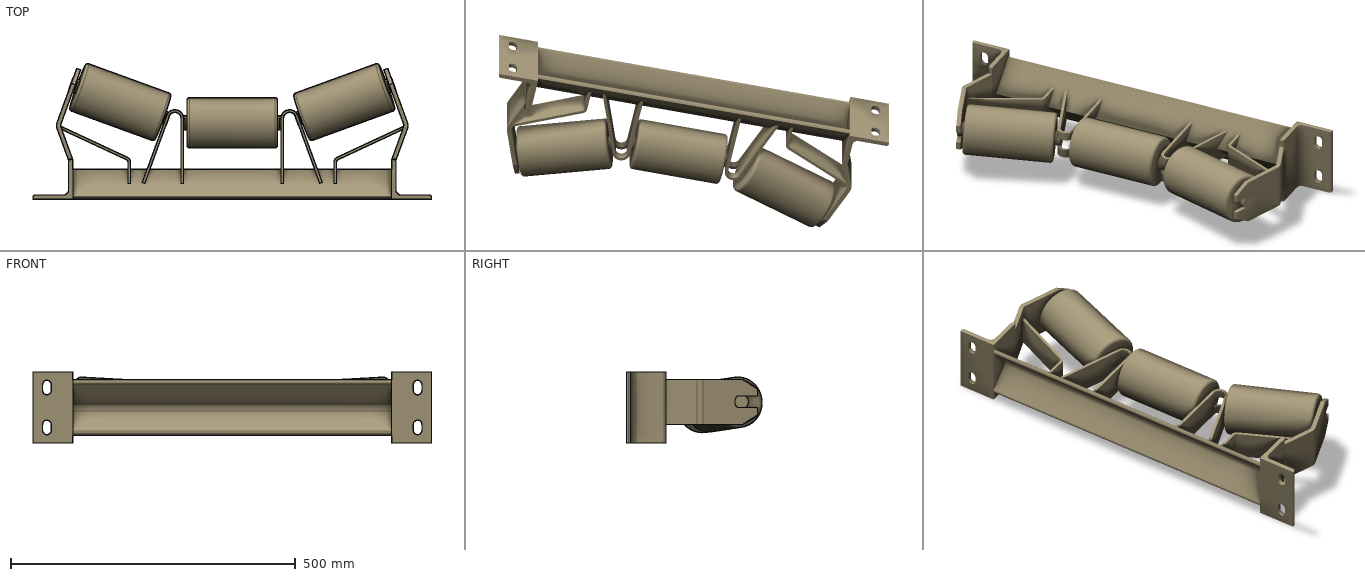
import cadquery as cq
import math


LEG = 70.0
ANGLE_T = 8.0
ROOT_R = 9.0
TOE_R = 4.0

TOTAL_LENGTH = 700.0
BEAM_END_X = TOTAL_LENGTH / 2 - LEG
BEAM_HALF_HEIGHT = LEG / math.sqrt(2)
BEAM_DEPTH = (LEG + ANGLE_T - 2 * TOE_R) / math.sqrt(2) + TOE_R
FOOT_HEIGHT = 125.0
FOOT_SLOT_W = 15.0
FOOT_SLOT_H = 25.0
FOOT_SLOT_INSET = 24.5
FOOT_SLOT_Z = 35.0

ROLLER_D = 89.0
ROLLER_LENGTH = 159.5
ROLLER_EDGE_R = 5.0
AXLE_D = 25.0
AXLE_FLAT_W = 20.0
AXLE_SHOULDER = 83.0
SIDE_SUPPORT_DISTANCE = 85.0
SLOT_DEPTH = 14.0
TROUGH_ANGLE = 20.0
FORWARD_TILT = 3.0
SIDE_ROLLER_CENTER = (-197.0, 171.0, 5.25)
MIDDLE_ROLLER_CENTER = (0.0, 134.5, 0.0)

ARM_T = 8.0
ARM_HEIGHT = 80.0
ARM_TOP_Z = BEAM_HALF_HEIGHT
ARM_BEND_Y = 129.5
ARM_UPPER_LENGTH = 107.0
ARM_BEND_R = 8.0
ARM_CORNER_RUN = 28.0
ARM_CORNER_RISE = 16.0

SHEET_T = 5.0
SHEET_HALF_HEIGHT = 25.0
SHEET_FOOT_Y = BEAM_DEPTH - SHEET_HALF_HEIGHT
SADDLE_FACE_X = -85.5
SADDLE_BEND_R = 15.5
SADDLE_BEND_Y = 142.0
SADDLE_SLANT_LENGTH = 125.0
BRACE_X = -178.5
BRACE_BEND_Y = 71.5
BRACE_ANGLE = 25.0
BRACE_BEND_R = 5.0

SIN_T = math.sin(math.radians(TROUGH_ANGLE))
COS_T = math.cos(math.radians(TROUGH_ANGLE))
TAN_T = math.tan(math.radians(TROUGH_ANGLE))


def mirrored(shape):
    return shape.mirror("YZ")


def angle_section(length):
    """Angle with its heel on the origin, legs along +X and +Y, extruded along +Z."""
    return (
        cq.Workplane("XY")
        .polyline([(0, 0), (LEG, 0), (LEG, ANGLE_T), (ANGLE_T, ANGLE_T), (ANGLE_T, LEG), (0, LEG)])
        .close()
        .extrude(length)
        .edges(cq.selectors.NearestToPointSelector((ANGLE_T, ANGLE_T, length / 2)))
        .fillet(ROOT_R)
        .edges(cq.selectors.NearestToPointSelector((LEG, ANGLE_T, length / 2)))
        .fillet(TOE_R)
        .edges(cq.selectors.NearestToPointSelector((ANGLE_T, LEG, length / 2)))
        .fillet(TOE_R)
    )


def plate(points, bottom, height):
    """Plate profile in XY raised along Z."""
    return cq.Workplane("XY").workplane(offset=bottom).polyline(points).close().extrude(height)


def fillet_at(body, point, radius):
    """Round the Z edge that stands over a point of the XY profile."""
    return body.edges("|Z").edges(cq.selectors.NearestToPointSelector((*point, 0))).fillet(radius)



def place(body, center, trough, tilt):
    """Tip a body made along X at the origin forward, swing it into the trough and move it."""
    tipped = body.rotate((0, 0, 0), (0, 1, 0), tilt)
    return tipped.rotate((0, 0, 0), (0, 0, 1), trough).translate(center)


def roller_shell():
    return (
        cq.Workplane("YZ")
        .workplane(offset=-ROLLER_LENGTH / 2)
        .circle(ROLLER_D / 2)
        .extrude(ROLLER_LENGTH)
        .edges()
        .fillet(ROLLER_EDGE_R)
        .cut(cq.Workplane("YZ").circle(AXLE_D / 2).extrude(ROLLER_LENGTH, both=True))
    )


def axle(left_reach, right_reach):
    """Round axle flattened in Z at both ends, where it drops into its support slots."""
    full = (
        cq.Workplane("YZ")
        .workplane(offset=-AXLE_SHOULDER)
        .circle(AXLE_D / 2)
        .extrude(2 * AXLE_SHOULDER)
    )
    flat = (
        cq.Workplane("YZ")
        .workplane(offset=-left_reach)
        .circle(AXLE_D / 2)
        .extrude(left_reach + right_reach)
        .intersect(cq.Workplane("XY").box(4 * AXLE_SHOULDER, AXLE_D, AXLE_FLAT_W))
    )
    return full.union(flat)


def slot_cutter(side):
    """Open slot for one axle end: a round bottom on the axle, open towards +Y."""
    bottom = cq.Workplane("YZ").circle(AXLE_D / 2).extrude(SLOT_DEPTH)
    opening = cq.Workplane("XY").box(SLOT_DEPTH, ROLLER_D, AXLE_FLAT_W, centered=(False, False, True))
    band = cq.Workplane("XY").box(SLOT_DEPTH, AXLE_D, AXLE_FLAT_W, centered=(False, True, True))
    cutter = bottom.intersect(band).union(opening).translate((AXLE_SHOULDER, 0, 0))
    return cutter if side > 0 else mirrored(cutter)


def place_side(body):
    return place(body, SIDE_ROLLER_CENTER, -TROUGH_ANGLE, FORWARD_TILT)


def place_middle(body):
    return place(body, MIDDLE_ROLLER_CENTER, 0, 0)



def beam_blank():
    """Angle lying along X with its heel towards +Y and its legs at 45 degrees."""
    return (
        angle_section(2 * BEAM_END_X)
        .rotate((0, 0, 0), (0, 0, 1), 135)
        .rotate((0, 0, 0), (1, 1, 1), 120)
        .translate((-BEAM_END_X, BEAM_DEPTH, 0))
    )


def saddle():
    """Hairpin plate: a straight leg for the middle roller, a slanted leg for the side one."""
    bend_x = SADDLE_FACE_X - SADDLE_BEND_R
    inner_r = SADDLE_BEND_R - SHEET_T
    bend_end = 180 - TROUGH_ANGLE

    def on_bend(radius, degrees):
        turn = math.radians(degrees)
        return (bend_x + radius * math.cos(turn), SADDLE_BEND_Y + radius * math.sin(turn))

    def slant_end(radius):
        x, y = on_bend(radius, bend_end)
        return (x - SADDLE_SLANT_LENGTH * SIN_T, y - SADDLE_SLANT_LENGTH * COS_T)

    body = (
        cq.Workplane("XY")
        .workplane(offset=-SHEET_HALF_HEIGHT)
        .moveTo(SADDLE_FACE_X, SHEET_FOOT_Y)
        .lineTo(*on_bend(SADDLE_BEND_R, 0))
        .threePointArc(on_bend(SADDLE_BEND_R, bend_end / 2), on_bend(SADDLE_BEND_R, bend_end))
        .lineTo(*slant_end(SADDLE_BEND_R))
        .lineTo(*slant_end(inner_r))
        .lineTo(*on_bend(inner_r, bend_end))
        .threePointArc(on_bend(inner_r, bend_end / 2), on_bend(inner_r, 0))
        .lineTo(SADDLE_FACE_X - SHEET_T, SHEET_FOOT_Y)
        .close()
        .extrude(2 * SHEET_HALF_HEIGHT)
    )
    bend_slot = cq.Workplane("XY").box(2 * SADDLE_BEND_R, SADDLE_BEND_R, AXLE_FLAT_W)
    bend_slot = bend_slot.translate((bend_x, SADDLE_BEND_Y + SADDLE_BEND_R / 2, 0))
    body = body.cut(bend_slot)
    return body.cut(place_middle(slot_cutter(-1))).cut(place_side(slot_cutter(1)))


def arm_inner_x(y):
    """X of the inner face of the arm's lower part."""
    return -BEAM_END_X - (y - LEG) * TAN_T


def brace():
    slope = math.radians(BRACE_ANGLE)

    def at_arm(x, y):
        """Where the slanted line through (x, y) reaches the inner face of the arm."""
        run = (x - arm_inner_x(y)) / (1 - math.tan(slope) * TAN_T)
        return (x - run, y + run * math.tan(slope))

    left_x = BRACE_X - SHEET_T
    left_y = BRACE_BEND_Y - SHEET_T * math.tan(math.pi / 4 - slope / 2)
    outer = (BRACE_X, BRACE_BEND_Y)
    inner = (left_x, left_y)
    right_foot = (BRACE_X, SHEET_FOOT_Y)
    left_foot = (left_x, SHEET_FOOT_Y)
    points = [right_foot, outer, at_arm(*outer), at_arm(*inner), inner, left_foot]
    body = plate(points, -SHEET_HALF_HEIGHT, 2 * SHEET_HALF_HEIGHT)
    body = fillet_at(body, outer, BRACE_BEND_R + SHEET_T)
    return fillet_at(body, inner, BRACE_BEND_R)


def cradle_beam():
    notch = (
        cq.Workplane("YZ")
        .polyline([(BEAM_DEPTH, 0), (0, BEAM_DEPTH), (0, -BEAM_DEPTH)])
        .close()
        .extrude(BEAM_END_X, both=True)
    )
    body = beam_blank()
    for part in (saddle().cut(notch), brace().cut(notch).cut(arm())):
        body = body.union(part).union(mirrored(part))
    return body



def foot():
    blank = angle_section(FOOT_HEIGHT).mirror("YZ").translate((-BEAM_END_X, 0, -FOOT_HEIGHT / 2))
    slots = (
        cq.Workplane("XZ")
        .pushPoints([(FOOT_SLOT_INSET - TOTAL_LENGTH / 2, z) for z in (-FOOT_SLOT_Z, FOOT_SLOT_Z)])
        .slot2D(FOOT_SLOT_H, FOOT_SLOT_W, 90)
        .extrude(-2 * ANGLE_T)
    )
    return blank.cut(slots)


def arm():
    inner_bend = (arm_inner_x(ARM_BEND_Y), ARM_BEND_Y)
    outer_bend = (inner_bend[0] - ARM_T / COS_T, ARM_BEND_Y)
    outer_tip = (outer_bend[0] + ARM_UPPER_LENGTH * SIN_T, ARM_BEND_Y + ARM_UPPER_LENGTH * COS_T)
    inner_tip = (outer_tip[0] + ARM_T * COS_T, outer_tip[1] - ARM_T * SIN_T)
    inner_foot = (-BEAM_END_X, LEG)
    outer_foot = (-BEAM_END_X - ARM_T / COS_T, LEG)
    points = [inner_foot, inner_bend, inner_tip, outer_tip, outer_bend, outer_foot]
    body = plate(points, ARM_TOP_Z - ARM_HEIGHT, ARM_HEIGHT)
    body = fillet_at(body, inner_bend, ARM_BEND_R)
    body = fillet_at(body, outer_bend, ARM_BEND_R + ARM_T)

    tip_plane = cq.Plane(origin=(*outer_tip, 0), xDir=(-SIN_T, -COS_T, 0), normal=(-COS_T, SIN_T, 0))
    top_z = ARM_TOP_Z
    bottom_z = ARM_TOP_Z - ARM_HEIGHT
    for edge_z, cut_z in ((top_z, top_z - ARM_CORNER_RISE), (bottom_z, bottom_z + ARM_CORNER_RISE)):
        corner = (
            cq.Workplane(tip_plane)
            .polyline([(0, edge_z), (ARM_CORNER_RUN, edge_z), (0, cut_z)])
            .close()
            .extrude(2 * ARM_T, both=True)
        )
        body = body.cut(corner)
    return body.cut(place_side(slot_cutter(-1)))


def end_support():
    return foot().union(arm())


beam = cradle_beam()
left_support = end_support()
supports = [left_support, mirrored(left_support)]
middle_reach = -SADDLE_FACE_X + SHEET_T
side_shell = place_side(roller_shell())
shells = [side_shell, place_middle(roller_shell()), mirrored(side_shell)]
side_axle = place_side(axle(SIDE_SUPPORT_DISTANCE + ARM_T, SIDE_SUPPORT_DISTANCE + SHEET_T))
axles = [side_axle, place_middle(axle(middle_reach, middle_reach)), mirrored(side_axle)]

result = cq.Compound.makeCompound([body.val() for body in [beam, *supports, *shells, *axles]])